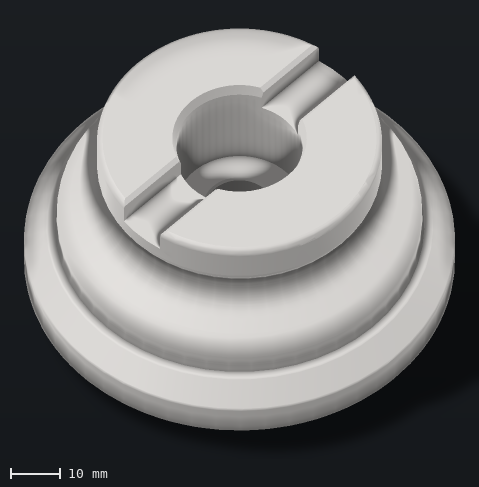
import cadquery as cq
import math

flange_radius = 43.15
flange_top = 15.9
flange_chamfer = 4.6
rim_fillet = 0.7
corner_margin = 0.1

body_radius = 36.6
body_bottom = 17.95
body_top = 20.0
root_radius = 5.5
waist_radius = 5.0
neck_diameter = 54.1
neck_radius = neck_diameter / 2
neck_bottom = 31.2
neck_top = 32.0

height = 44.45
head_radius = 28.6
head_bottom = 36.4
head_edge_height = 1.7
head_edge_width = 1.1

bore_diameter = 25.4
bore_mouth_diameter = 26.9
bore_mouth_depth = 2.2
bore_depth = 22.3
hole_diameter = 13.7
hole_chamfer = 0.4
slot_width = 10.1
slot_depth = 5.4
slot_chamfer = 0.9


def on_circle(center, radius, angle):
    """Point of a circle in the (radius, height) half plane."""
    return (center[0] + radius * math.cos(angle), center[1] + radius * math.sin(angle))


def turned_body():
    root_center = (body_radius + root_radius, body_bottom)
    root_end = math.pi + math.asin((body_bottom - flange_top) / root_radius)

    body_center = (body_radius - waist_radius, body_top)
    lower_neck_center = (neck_radius + waist_radius, neck_bottom)
    offset_r = lower_neck_center[0] - body_center[0]
    offset_z = lower_neck_center[1] - body_center[1]
    center_distance = math.hypot(offset_r, offset_z)
    tangent_angle = math.atan2(offset_z, offset_r) - math.acos(2 * waist_radius / center_distance)
    neck_angle = tangent_angle + math.pi

    head_rise = head_bottom - neck_top
    head_step = head_radius - neck_radius
    head_sweep = 2 * math.atan(head_step / head_rise)
    underside_radius = head_rise / math.sin(head_sweep) - waist_radius
    upper_neck_center = (neck_radius + waist_radius, neck_top)
    underside_center = (head_radius - underside_radius, head_bottom)

    profile = (
        cq.Workplane("XZ")
        .lineTo(flange_radius - flange_chamfer, 0)
        .lineTo(flange_radius, flange_chamfer)
        .lineTo(flange_radius, flange_top - flange_chamfer)
        .lineTo(flange_radius - flange_chamfer, flange_top)
        .lineTo(*on_circle(root_center, root_radius, root_end))
        .threePointArc(
            on_circle(root_center, root_radius, (root_end + math.pi) / 2),
            (body_radius, body_bottom),
        )
        .lineTo(body_radius, body_top)
        .threePointArc(
            on_circle(body_center, waist_radius, tangent_angle / 2),
            on_circle(body_center, waist_radius, tangent_angle),
        )
        .lineTo(*on_circle(lower_neck_center, waist_radius, neck_angle))
        .threePointArc(
            on_circle(lower_neck_center, waist_radius, (neck_angle + math.pi) / 2),
            (neck_radius, neck_bottom),
        )
        .lineTo(neck_radius, neck_top)
        .threePointArc(
            on_circle(upper_neck_center, waist_radius, math.pi - head_sweep / 2),
            on_circle(upper_neck_center, waist_radius, math.pi - head_sweep),
        )
        .threePointArc(
            on_circle(underside_center, underside_radius, -head_sweep / 2),
            (head_radius, head_bottom),
        )
        .lineTo(head_radius, height - head_edge_height)
        .tangentArcPoint((head_radius - head_edge_width, height), relative=False)
        .lineTo(0, height)
        .close()
    )
    body = profile.revolve(360, (0, 0, 0), (0, 1, 0))

    corners = [
        (flange_radius, flange_chamfer),
        (flange_radius, flange_top - flange_chamfer),
        (flange_radius - flange_chamfer, flange_top),
    ]
    for radius, level in corners:
        corner_edge = cq.selectors.BoxSelector(
            (-radius - corner_margin, -radius - corner_margin, level - corner_margin),
            (radius + corner_margin, radius + corner_margin, level + corner_margin),
            boundingbox=True,
        )
        outermost = cq.selectors.RadiusNthSelector(-1)
        body = body.edges(corner_edge).edges("%CIRCLE").edges(outermost).fillet(rim_fillet)
    return body


def stepped_bore():
    bore_radius = bore_diameter / 2
    mouth_radius = bore_mouth_diameter / 2
    hole_radius = hole_diameter / 2
    floor = height - bore_depth
    return (
        cq.Workplane("XZ")
        .lineTo(hole_radius, 0)
        .lineTo(hole_radius, floor - hole_chamfer)
        .lineTo(hole_radius + hole_chamfer, floor)
        .lineTo(bore_radius, floor)
        .lineTo(bore_radius, height - bore_mouth_depth)
        .lineTo(mouth_radius, height)
        .lineTo(0, height)
        .close()
        .revolve(360, (0, 0, 0), (0, 1, 0))
    )


def driving_slot():
    half_width = slot_width / 2
    half_mouth = half_width + slot_chamfer
    return (
        cq.Workplane("XZ")
        .polyline(
            [
                (-half_width, height - slot_depth),
                (half_width, height - slot_depth),
                (half_width, height - slot_chamfer),
                (half_mouth, height),
                (-half_mouth, height),
                (-half_width, height - slot_chamfer),
            ]
        )
        .close()
        .extrude(head_radius, both=True)
    )


result = turned_body().cut(stepped_bore()).cut(driving_slot())